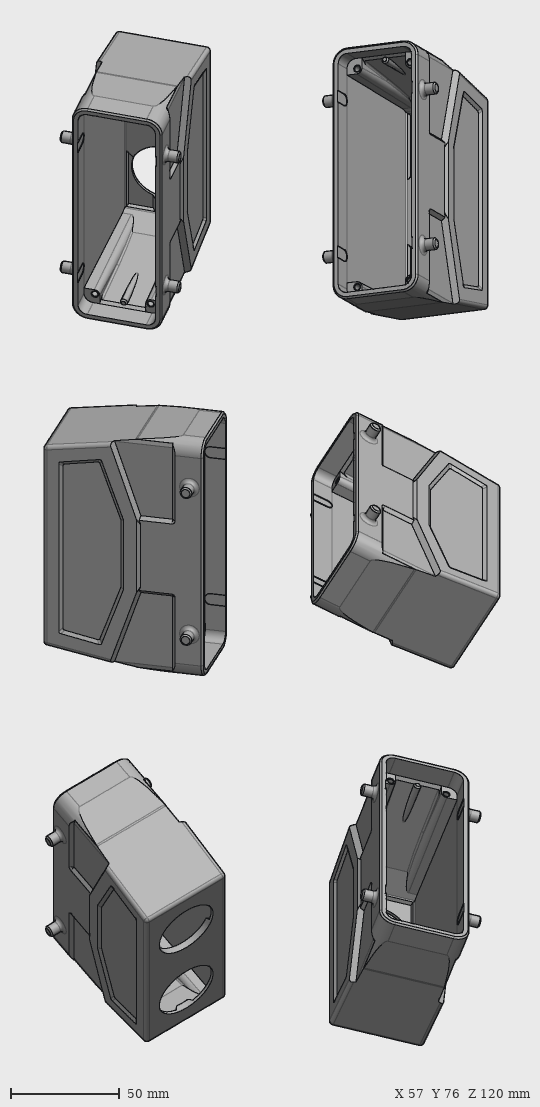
import cadquery as cq
import math

depth = 76.0
pin_span = 57.0
half_height = 60.0

mouth_half_width = 21.6
mouth_corner_radius = 7.5
mouth_chamfer = 0.8
straight_depth = 11.3
crease_depth = 31.8
crease_width = 0.8
crease_half_height = 57.8
crease_drop = 0.2
back_half_height = 50.4

grip_half_width = 22.8
grip_edge_radius = 1.9
grip_slant_top_y = 44.2
grip_border_y = 31.3
grip_border_half_height = 18.5
border_bevel = 1.7

panel_back_y = 68.4
panel_border_y = 37.5
panel_border_half_height = 17.4
panel_slant_y = 48.2
panel_slant_half_height = 47.0
panel_back_half_height = 43.3
panel_depth = 1.2
panel_corner_radius = 1.9

sunk_half_width = 19.9
sunk_front_y = 14.9
sunk_inner_z = 19.5
sunk_wall_draft = 45.0
cut_margin = 0.6
sunk_bevel_start_z = 55.7
sunk_bevel_end_z = 57.7
sunk_bevel_width = 0.5

cavity_half_width = 18.6
cavity_half_height = 57.1
cavity_corner_radius = 4.5
shoulder_depth = 9.6
floor_depth = 72.6
floor_half_width = 17.8
floor_half_height = 47.6
cavity_step_y = 11.4
cavity_step_height = 1.1
cavity_knee_y = 58.8
cavity_knee_half_height = 50.6
floor_fillet = 0.6

pocket_depth = 1.9
pocket_inset = 0.5
strip_half_width = 3.1
strip_foot_half_width = 4.8
pocket_half_width = 17.0
pocket_wall_z = 15.5
pocket_hole_x = 13.2
pocket_hole_z = 18.6
pocket_end_z = 47.2

opening_diameter = 30.4
opening_z = 25.0

boss_inner_x = 11.0
boss_inner_z = 49.7
boss_corner_radius = 2.6
boss_draft = 1.2
boss_root_fillet = 1.0
screw_x = 13.5
screw_z = 52.2
screw_diameter = 2.8
screw_mouth_diameter = 3.5
screw_depth = 14.4

rib_diameter = 3.5
rib_chamfer = 0.7
rib_z = 55.3
rib_front_y = 10.8

pin_diameter = 5.5
pin_tip_x = pin_span / 2
pin_tip_chamfer = 0.7
pin_root_fillet = 1.9
pin_y = 6.4
pin_z = 37.2
relief_depth = 0.4
relief_end_y = 10.0

SIDES = (-1, 1)
CORNERS = [(sx, sz) for sx in SIDES for sz in SIDES]
back_slope = (crease_half_height - crease_drop - back_half_height) / (depth - crease_depth - crease_width)


def slope_half_height(y):
    """Half height of the shell on its back slope at a given depth."""
    return back_half_height + back_slope * (depth - y)


def mirrored(upper):
    """Close a (Y, Z) outline that is symmetric about Z = 0."""
    return upper + [(y, -z) for y, z in reversed(upper)]


def prism(outline, half_width):
    """Extrude a (Y, Z) outline symmetrically along X."""
    return cq.Workplane("YZ").polyline(outline).close().extrude(half_width, both=True)


def rounded_block(half_x, half_z, radius, y_end):
    block = cq.Workplane("XZ").rect(2 * half_x, 2 * half_z).extrude(-y_end)
    return block.edges("|Y").fillet(radius)


def shell_profile():
    upper = [
        (0, half_height),
        (straight_depth, half_height),
        (crease_depth, crease_half_height),
        (crease_depth + crease_width, crease_half_height - crease_drop),
        (depth, back_half_height),
    ]
    return prism(mirrored(upper), 2 * grip_half_width)


def sunk_area(side_z):
    outer = half_height + cut_margin
    outline = [
        (sunk_front_y, side_z * sunk_inner_z),
        (sunk_front_y, side_z * outer),
        (grip_slant_top_y, side_z * outer),
        (grip_slant_top_y, side_z * sunk_inner_z),
    ]
    plane = cq.Workplane("YZ", origin=(sunk_half_width, 0, 0))
    height = mouth_half_width - sunk_half_width + cut_margin
    return plane.polyline(outline).close().extrude(height, taper=-sunk_wall_draft)


def sunk_edge_bevel(side_z):
    outline = [
        (sunk_half_width, side_z * sunk_bevel_start_z),
        (sunk_half_width - sunk_bevel_width, side_z * sunk_bevel_end_z),
        (mouth_half_width, side_z * sunk_bevel_end_z),
        (mouth_half_width, side_z * sunk_bevel_start_z),
    ]
    plane = cq.Workplane("XZ", origin=(0, sunk_front_y, 0))
    return plane.polyline(outline).close().extrude(sunk_front_y - grip_slant_top_y)


def front_shell():
    body = rounded_block(mouth_half_width, half_height, mouth_corner_radius, grip_slant_top_y)
    body = body.intersect(shell_profile())
    body = body.faces("<Y").chamfer(mouth_chamfer)
    for side_z in SIDES:
        area = sunk_area(side_z)
        body = body.cut(area).cut(area.mirror("YZ"))
        bevel = sunk_edge_bevel(side_z)
        body = body.cut(bevel).cut(bevel.mirror("YZ"))
    return body


def grip_outline(middle_shift, slant_shift):
    """Grip border moved toward the mouth by the two shifts, as a (Y, Z) outline."""
    run = grip_slant_top_y - grip_border_y
    rise = slope_half_height(grip_slant_top_y) - grip_border_half_height
    slant = run / rise
    middle_y = grip_border_y - middle_shift
    middle_z = grip_border_half_height + (slant_shift - middle_shift) / slant
    top_y = grip_slant_top_y - slant_shift / (1 + slant * back_slope)
    return mirrored([(depth, back_half_height), (top_y, slope_half_height(top_y)), (middle_y, middle_z)])


def grip_half():
    bevel_height = grip_half_width - sunk_half_width
    middle_bevel = border_bevel * bevel_height / (grip_half_width - mouth_half_width)
    inner = grip_outline(middle_bevel, border_bevel)
    outer = grip_outline(0, 0)
    core = cq.Workplane("YZ").polyline(inner).close().extrude(sunk_half_width)
    bevelled = (
        cq.Workplane("YZ", origin=(sunk_half_width, 0, 0))
        .polyline(inner).close()
        .workplane(offset=bevel_height)
        .polyline(outer).close()
        .loft(ruled=True, combine=False)
    )
    return core.union(bevelled)


def side_panel():
    outline = mirrored([
        (panel_back_y, panel_back_half_height),
        (panel_slant_y, panel_slant_half_height),
        (panel_border_y, panel_border_half_height),
    ])
    plane = cq.Workplane("YZ", origin=(grip_half_width, 0, 0))
    taper = math.degrees(math.atan2(border_bevel, panel_depth))
    panel = plane.polyline(outline).close().extrude(-panel_depth, taper=taper)
    corners = panel.edges("not #X").filter(lambda edge: abs(edge.Center().z) > 2 * panel_border_half_height)
    return corners.fillet(panel_corner_radius)


def grip():
    half = grip_half()
    body = half.union(half.mirror("YZ"))
    body = body.edges(cq.selectors.BoxSelector(
        (-grip_half_width - cut_margin, panel_slant_y, -half_height),
        (grip_half_width + cut_margin, depth + cut_margin, half_height),
    )).fillet(grip_edge_radius)
    panel = side_panel()
    return body.cut(panel).cut(panel.mirror("YZ"))


def boss(side_x, side_z):
    """Drafted corner block that is trimmed by the cavity walls."""
    outline_x = 2 * (mouth_half_width - boss_inner_x)
    outline_z = 2 * (half_height - boss_inner_z)
    return (
        cq.Workplane("XZ", origin=(side_x * mouth_half_width, shoulder_depth, side_z * half_height))
        .sketch().rect(outline_x, outline_z).vertices().fillet(boss_corner_radius).finalize()
        .extrude(-(floor_depth + pocket_depth - shoulder_depth), taper=-boss_draft)
    )


def end_rib(side_z):
    rib = cq.Workplane("XZ", origin=(0, rib_front_y, side_z * rib_z)).circle(rib_diameter / 2)
    rib = rib.extrude(-(floor_depth - rib_front_y))
    return rib.faces("<Y").chamfer(rib_chamfer)


def floor_pocket(side_x, side_z):
    """Sunken corner of the floor with sloped walls, beside the raised middle strip."""
    def outline(strip_edge, inset):
        points = [
            (strip_edge, opening_z),
            (pocket_hole_x + inset, pocket_hole_z + 2 * inset),
            (pocket_half_width - inset, pocket_wall_z + 2 * inset),
            (pocket_half_width - inset, pocket_end_z - inset),
            (strip_edge, pocket_end_z - inset),
        ]
        return [(side_x * x, side_z * z) for x, z in points]

    plane = cq.Workplane("XZ", origin=(0, floor_depth, 0))
    return (
        plane.polyline(outline(strip_half_width, 0)).close()
        .workplane(offset=-pocket_depth)
        .polyline(outline(strip_foot_half_width, pocket_inset)).close()
        .loft(ruled=True)
    )


def cavity():
    entry = rounded_block(cavity_half_width, cavity_half_height, cavity_corner_radius, shoulder_depth)
    end_profile = mirrored([
        (shoulder_depth, cavity_half_height),
        (cavity_step_y, cavity_half_height - cavity_step_height),
        (cavity_knee_y, cavity_knee_half_height),
        (floor_depth, floor_half_height),
    ])
    side_profile = [
        (-cavity_half_width, shoulder_depth),
        (cavity_half_width, shoulder_depth),
        (floor_half_width, floor_depth),
        (-floor_half_width, floor_depth),
    ]
    sides = cq.Workplane("XY").polyline(side_profile).close().extrude(half_height, both=True)
    space = prism(end_profile, cavity_half_width).intersect(sides)
    space = space.faces(">Y").edges().fillet(floor_fillet)
    for side_x, side_z in CORNERS:
        space = space.cut(boss(side_x, side_z))
    roots = space.edges(cq.selectors.BoxSelector(
        (-boss_inner_x, 2 * shoulder_depth, -half_height), (boss_inner_x, cavity_knee_y, half_height)
    )).edges("not #Z")
    root_limit = boss_inner_z + boss_corner_radius + cut_margin
    space = roots.filter(lambda edge: abs(edge.Center().z) > root_limit).fillet(boss_root_fillet)
    for side_z in SIDES:
        space = space.cut(end_rib(side_z))
    for side_x, side_z in CORNERS:
        space = space.union(floor_pocket(side_x, side_z))
    return space.union(entry)


def screw_hole(side_x, side_z):
    plane = cq.Workplane("XZ", origin=(side_x * screw_x, shoulder_depth, side_z * screw_z))
    hole = plane.circle(screw_diameter / 2).extrude(-screw_depth)
    lead_in = (screw_mouth_diameter - screw_diameter) / 2
    cone = cq.Solid.makeCone(
        screw_mouth_diameter / 2, screw_diameter / 2, lead_in,
        cq.Vector(side_x * screw_x, shoulder_depth, side_z * screw_z), cq.Vector(0, 1, 0),
    )
    return hole.union(cq.Workplane(cone))


def pin(side_x, side_z):
    """Locking pin with a flared root, revolved about its own X axis."""
    radius = pin_diameter / 2
    root_x = mouth_half_width
    flare_x = root_x + pin_root_fillet
    chord = pin_root_fillet * (1 - math.sqrt(0.5))
    profile = (
        cq.Workplane("XY")
        .moveTo(cavity_half_width + relief_depth, 0)
        .lineTo(cavity_half_width + relief_depth, radius + pin_root_fillet)
        .lineTo(root_x, radius + pin_root_fillet)
        .threePointArc((root_x + chord, radius + chord), (flare_x, radius))
        .lineTo(pin_tip_x - pin_tip_chamfer, radius)
        .lineTo(pin_tip_x, radius - pin_tip_chamfer)
        .lineTo(pin_tip_x, 0)
        .close()
    )
    body = profile.revolve(360, (0, 0, 0), (1, 0, 0)).translate((0, pin_y, side_z * pin_z))
    return body if side_x > 0 else body.mirror("YZ")


def pin_relief(side_z):
    """Round-ended groove across both cavity walls, open at the mouth."""
    radius = pin_diameter / 2
    half_width = cavity_half_width + relief_depth
    straight = relief_end_y - radius
    return (
        cq.Workplane("YZ")
        .moveTo(0, side_z * pin_z - radius)
        .lineTo(straight, side_z * pin_z - radius)
        .threePointArc((relief_end_y, side_z * pin_z), (straight, side_z * pin_z + radius))
        .lineTo(0, side_z * pin_z + radius)
        .close()
        .extrude(half_width, both=True)
    )


def cable_opening(side_z):
    plane = cq.Workplane("XZ", origin=(0, depth / 2, side_z * opening_z))
    return plane.circle(opening_diameter / 2).extrude(-depth)


result = front_shell().union(grip())
for side_x, side_z in CORNERS:
    result = result.union(pin(side_x, side_z))
result = result.cut(cavity())
for side_z in SIDES:
    result = result.cut(pin_relief(side_z)).cut(cable_opening(side_z))
for side_x, side_z in CORNERS:
    result = result.cut(screw_hole(side_x, side_z))